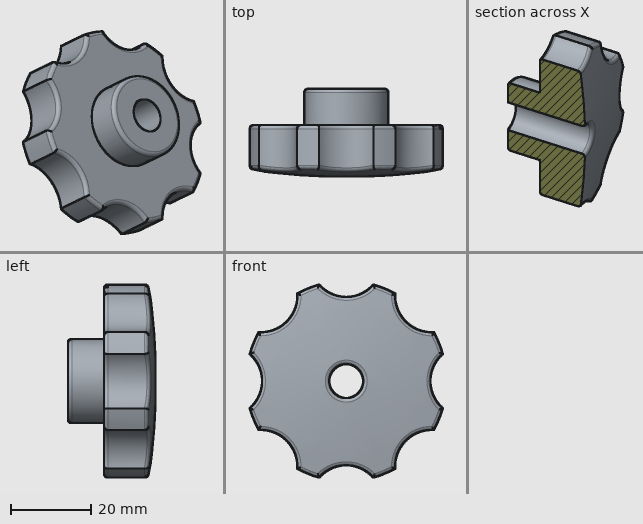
import cadquery as cq
import math

grip_radius = 25.0
hub_radius = 10.5
bore_radius = 4.2
hub_length = 9.0
crown_height = 13.0
dome_radius = 160.0
edge_round = 1.0

scallop_count = 8
scallop_radius = 9.0
scallop_pitch_radius = 30.0


def dome_height(radius):
    """Grip thickness at a given distance from the axis."""
    sagitta = dome_radius - math.sqrt(dome_radius**2 - radius**2)
    return crown_height - sagitta


def make_blank():
    """Domed ring with its flat back on Y = 0 and its crown towards -Y."""
    middle_radius = (bore_radius + grip_radius) / 2
    blank = (
        cq.Workplane("XY")
        .moveTo(bore_radius, 0)
        .lineTo(grip_radius, 0)
        .lineTo(grip_radius, -dome_height(grip_radius))
        .threePointArc(
            (middle_radius, -dome_height(middle_radius)),
            (bore_radius, -dome_height(bore_radius)),
        )
        .close()
        .revolve(360, (0, 0, 0), (0, 1, 0))
    )
    return blank.edges("<Y").fillet(edge_round)


def cut_scallops(blank):
    """Cut the ring of finger scallops, then round the star outline front and back."""
    cutters = (
        cq.Workplane("XZ")
        .polarArray(scallop_pitch_radius, 0, 360, scallop_count)
        .circle(scallop_radius)
        .extrude(crown_height)
    )
    star = blank.cut(cutters)
    floor_radius = scallop_pitch_radius - scallop_radius

    def on_outline(edge):
        center = edge.Center()
        return math.hypot(center.x, center.z) > floor_radius

    return star.edges("not |Y").filter(on_outline).fillet(edge_round)


def make_hub():
    """Bored cylindrical hub with a rounded outer edge at its free end."""
    hub = cq.Workplane("XZ").circle(hub_radius).extrude(-hub_length)
    hub = hub.faces(">Y").edges().fillet(edge_round)
    bore = cq.Workplane("XZ").circle(bore_radius).extrude(-hub_length)
    return hub.cut(bore)


star = cut_scallops(make_blank())
result = star.union(make_hub())